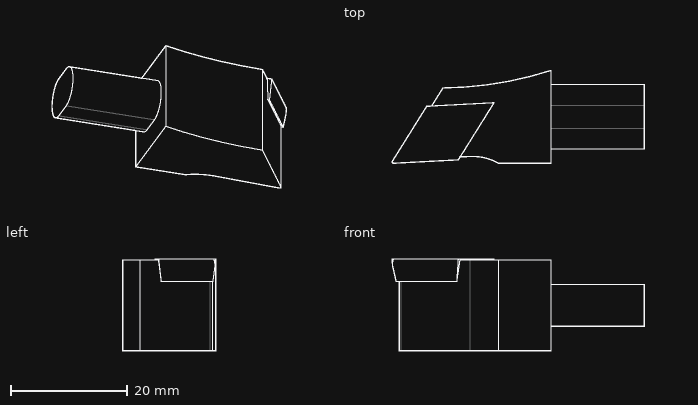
import cadquery as cq
import math


shank_length = 16.02
shank_width = 11.15
shank_thickness = 7.2

tip_reach = 27.3
head_width = 16.0
head_height = 15.65
head_nose_radius = 0.3
flank_gap = 0.2
relief_start_x = -13.95
relief_end_x = -9.0
back_corner_y = 5.0
back_middle = (-12.55, 5.33)

insert_side = 11.6
insert_height = 3.9
insert_proud = 0.17
insert_nose_radius = 0.25
relief_angle = 7.0
front_angle = 3.0
side_angle = 58.0

half_width = head_width / 2
head_top = head_height / 2
insert_top = head_top + insert_proud
insert_inset = insert_height * math.tan(math.radians(relief_angle))


def direction(angle):
    return cq.Vector(math.cos(math.radians(angle)), math.sin(math.radians(angle)))


front_direction = direction(front_angle)
side_direction = direction(side_angle)


def corner_inset(front_inset, side_inset):
    """Shift of the nose corner when its two edges move inward by these distances."""
    sine = math.sin(math.radians(side_angle - front_angle))
    return front_direction * (side_inset / sine) + side_direction * (front_inset / sine)


nose_center = cq.Vector(insert_nose_radius - tip_reach, insert_nose_radius - half_width)
insert_corner = nose_center - corner_inset(insert_nose_radius, insert_nose_radius)
head_corner = insert_corner + corner_inset(insert_inset, insert_inset + flank_gap)


def xy(point):
    return (point.x, point.y)


def make_insert():
    front_end = insert_corner + front_direction * insert_side
    far_corner = front_end + side_direction * insert_side
    side_end = insert_corner + side_direction * insert_side
    outline = [xy(p) for p in (insert_corner, front_end, far_corner, side_end)]

    top_plane = cq.Workplane("XY").workplane(offset=insert_top)
    tapered = top_plane.polyline(outline).close().extrude(-insert_height, taper=relief_angle)

    rounded = (
        top_plane.polyline(outline).close().extrude(-insert_height)
        .edges("|Z").edges("<X").fillet(insert_nose_radius)
    )
    return tapered.intersect(rounded)


def make_head():
    relief_start_y = head_corner.y + (relief_start_x - head_corner.x) * math.tan(math.radians(front_angle))
    back_corner_x = head_corner.x + (back_corner_y - head_corner.y) / math.tan(math.radians(side_angle))
    return (
        cq.Workplane("XY").workplane(offset=-head_top)
        .moveTo(*xy(head_corner))
        .lineTo(relief_start_x, relief_start_y)
        .tangentArcPoint((relief_end_x, -half_width), relative=False)
        .lineTo(0, -half_width)
        .lineTo(0, half_width)
        .threePointArc(back_middle, (back_corner_x, back_corner_y))
        .close()
        .extrude(head_height)
        .edges("|Z").edges("<X").fillet(head_nose_radius)
    )


def make_shank():
    return cq.Workplane("YZ").slot2D(shank_width, shank_thickness).extrude(shank_length)


insert = make_insert()

holder = make_head().union(make_shank()).cut(insert)

result = cq.Compound.makeCompound([holder.solids().val(), insert.solids().val()])